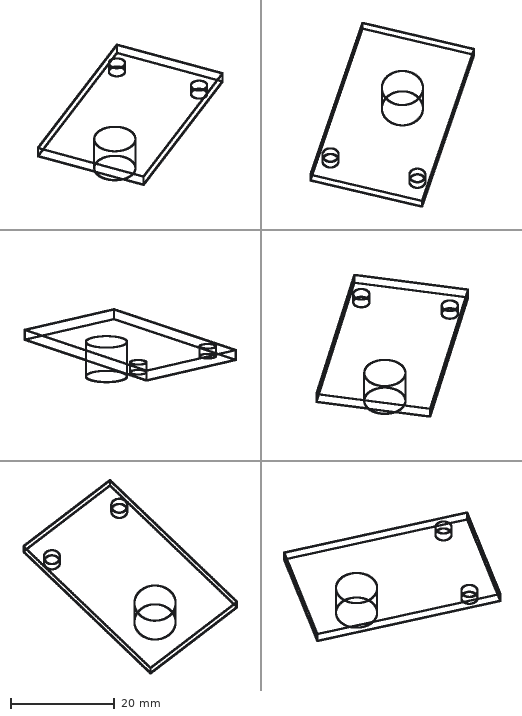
import cadquery as cq

plate_width = 22.5
plate_length = 37.0
plate_thickness = 2.0

hole_diameter = 3.15
hole_spacing = 17.5
hole_edge_distance = 5.5

overall_height = 9.0
boss_diameter = 8.0
boss_edge_distance = 11.3
boss_height = overall_height - plate_thickness

hole_y = plate_length / 2 - hole_edge_distance
boss_y = boss_edge_distance - plate_length / 2

plate = (
    cq.Workplane("XY")
    .rect(plate_width, plate_length)
    .extrude(plate_thickness)
)

holes = (
    cq.Workplane("XY")
    .pushPoints([(side * hole_spacing / 2, hole_y) for side in (-1, 1)])
    .circle(hole_diameter / 2)
    .extrude(plate_thickness)
)

boss = (
    cq.Workplane("XY")
    .center(0, boss_y)
    .circle(boss_diameter / 2)
    .extrude(-boss_height)
)

result = plate.cut(holes).union(boss)